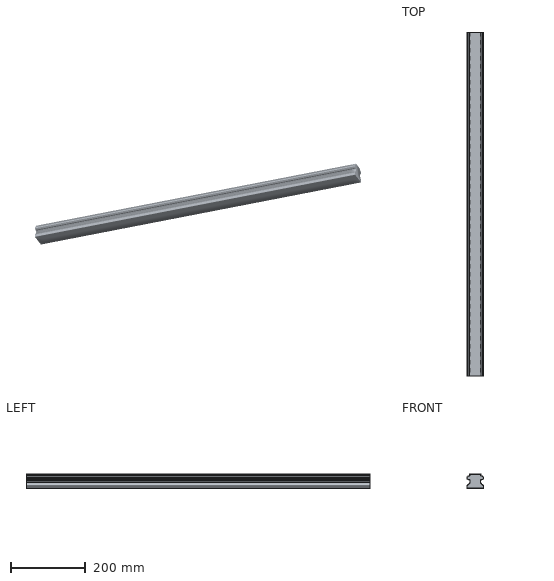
import cadquery as cq
import math

length = 920.0
width = 45.0
height = 38.0

edge_half_width = width / 2
flank_half_width = 18.8
ledge_half_width = 15.3
waist_half_width = 14.2

base_chamfer = 0.5

base_edge_height = 6.7
waist_top = 20.4
lower_ledge_height = 23.0
lower_flank_height = 23.4
head_bottom = 26.2
head_top = 29.1

flank_angle = math.radians(47.0)
ledge_angle = math.radians(18.0)

waist_bottom = base_edge_height + (edge_half_width - waist_half_width) * math.tan(flank_angle)
upper_flank_height = head_top + (edge_half_width - flank_half_width) * math.tan(flank_angle)
upper_ledge_height = upper_flank_height + (flank_half_width - ledge_half_width) * math.tan(ledge_angle)


def rail_profile():
    """Cross-section with a flared base, a narrow waist and a stepped head, symmetric about X = 0."""
    right_side = [
        (edge_half_width - base_chamfer, 0),
        (edge_half_width, base_chamfer),
        (edge_half_width, base_edge_height),
        (waist_half_width, waist_bottom),
        (waist_half_width, waist_top),
        (ledge_half_width, lower_ledge_height),
        (flank_half_width, lower_flank_height),
        (edge_half_width, head_bottom),
        (edge_half_width, head_top),
        (flank_half_width, upper_flank_height),
        (ledge_half_width, upper_ledge_height),
        (ledge_half_width, height),
    ]
    left_side = [(-x, z) for x, z in reversed(right_side)]
    return cq.Workplane("XZ").polyline(right_side + left_side).close()


result = rail_profile().extrude(length / 2, both=True)